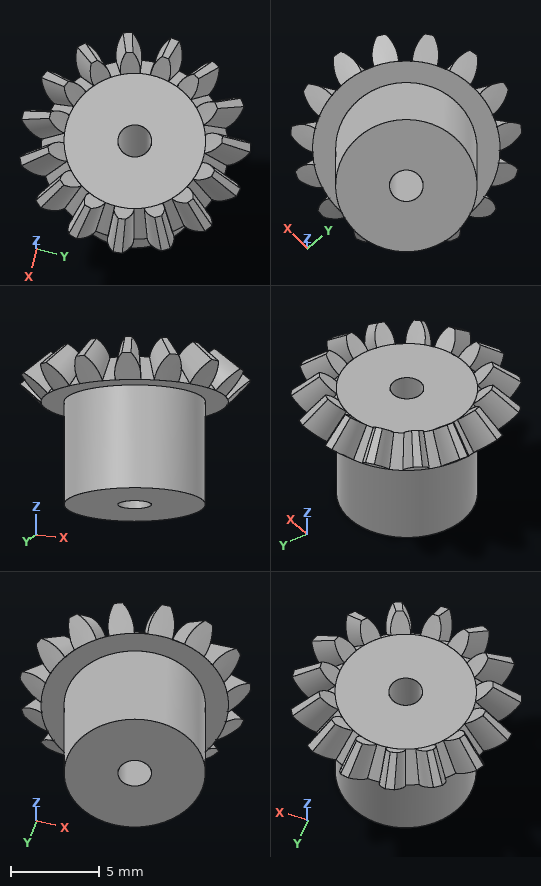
import cadquery as cq
import math

tooth_count = 15
bore_diameter = 1.9
hub_diameter = 8.0
hub_height = 5.99
pitch_angle = 45
root_radius = 5.3
apex_height = 12.77

tooth_height = 1.78
base_half_width = 0.72
flank_middle_height = 1.19
flank_middle_half_width = 0.58
tip_half_width = 0.26
root_overlap = 0.1

bore_radius = bore_diameter / 2
hub_radius = hub_diameter / 2
end_ratio = hub_radius / root_radius
top_height = apex_height - end_ratio * (apex_height - hub_height)
pitch_sin = math.sin(math.radians(pitch_angle))
pitch_cos = math.cos(math.radians(pitch_angle))

blank_outer_ratio = 1.05
blank_inner_ratio = 0.9 * end_ratio
trim_length = 1.5 * tooth_height


def revolve_profile(points):
    """Revolve a closed (radius, height) outline about the Z axis."""
    return cq.Workplane("XZ").polyline(points).close().revolve(360, (0, 0), (0, 1))


def tooth_section(ratio):
    """Closed tooth section, shrunk towards the apex by the given ratio."""
    plane = cq.Plane(
        origin=(0, -ratio * root_radius, apex_height - ratio * (apex_height - hub_height)),
        xDir=(1, 0, 0),
        normal=(0, -pitch_sin, -pitch_cos),
    )
    bottom = -root_overlap * ratio
    base = base_half_width * ratio
    middle = (flank_middle_half_width * ratio, flank_middle_height * ratio)
    tip = (tip_half_width * ratio, tooth_height * ratio)
    return (
        cq.Workplane(plane)
        .moveTo(-base, bottom)
        .lineTo(base, bottom)
        .threePointArc(middle, tip)
        .lineTo(-tip[0], tip[1])
        .threePointArc((-middle[0], middle[1]), (-base, bottom))
        .close()
        .wires()
        .val()
    )


def make_tooth():
    """Tapered tooth on the -Y side, trimmed by the two end cones."""
    blank = cq.Solid.makeLoft([tooth_section(blank_outer_ratio), tooth_section(blank_inner_ratio)], True)
    trim_radial = trim_length * pitch_cos
    trim_axial = trim_length * pitch_sin
    envelope = revolve_profile([
        (bore_radius, hub_height),
        (root_radius, hub_height),
        (root_radius + trim_radial, hub_height + trim_axial),
        (hub_radius + trim_radial, top_height + trim_axial),
        (hub_radius, top_height),
        (bore_radius, top_height),
    ])
    return envelope.intersect(cq.Workplane(obj=blank))


body = revolve_profile([
    (bore_radius, 0),
    (hub_radius, 0),
    (hub_radius, hub_height),
    (root_radius, hub_height),
    (hub_radius, top_height),
    (bore_radius, top_height),
])

tooth = make_tooth()
result = body
for index in range(tooth_count):
    angle = index * 360 / tooth_count
    result = result.union(tooth.rotate((0, 0, 0), (0, 0, 1), angle))